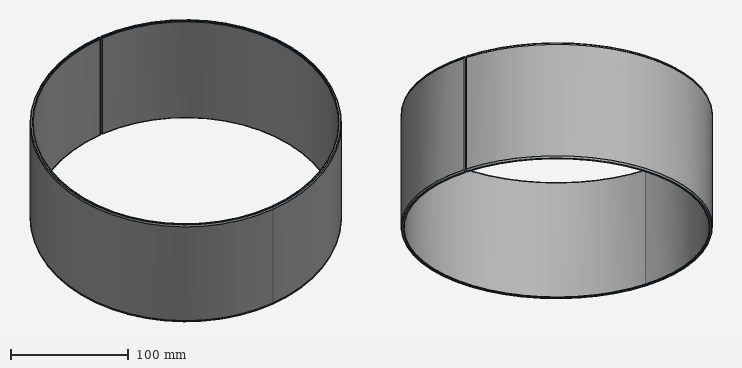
import cadquery as cq

outer_diameter = 265.0
height = 110.0
wall = 2.6
outer_bevel_height = 1.9
outer_bevel_depth = 0.64
inner_bevel = 0.64
slit_width = 2.0

outer_radius = outer_diameter / 2
inner_radius = outer_radius - wall
outer_rim_radius = outer_radius - outer_bevel_depth
inner_rim_radius = inner_radius + inner_bevel
top = height / 2
outer_bevel_start = top - outer_bevel_height
inner_bevel_start = top - inner_bevel


def make_band():
    """Closed ring, centred on the origin, steeply bevelled outside and chamfered inside each rim."""
    section = [
        (inner_rim_radius, -top),
        (outer_rim_radius, -top),
        (outer_radius, -outer_bevel_start),
        (outer_radius, outer_bevel_start),
        (outer_rim_radius, top),
        (inner_rim_radius, top),
        (inner_radius, inner_bevel_start),
        (inner_radius, -inner_bevel_start),
    ]
    return cq.Workplane("XZ").polyline(section).close().revolve(360, (0, 0), (0, 1))


def make_slit():
    """Full-height cutter for the -X wall, with one side on the XZ plane."""
    cutter = cq.Workplane("XY").box(3 * wall, slit_width, height, centered=(True, False, True))
    return cutter.translate((-outer_radius, 0, 0))


result = make_band().cut(make_slit())